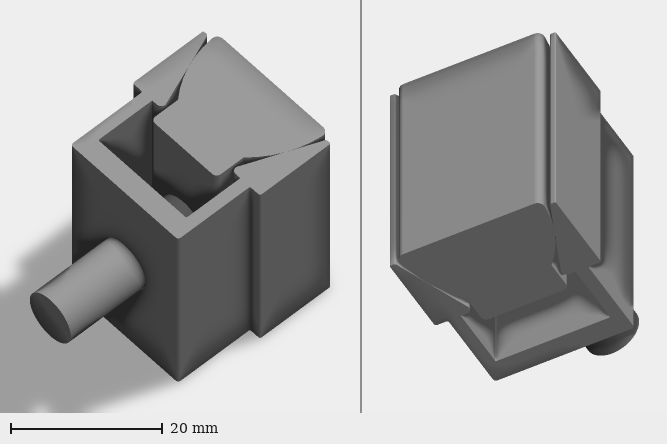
import cadquery as cq
import math

height = 31.75

channel_width = 21.0
cavity_width = 17.2
base_thickness = 3.2
channel_corner_radius = 0.48
cavity_corner_radius = 0.2

jaw_width = 24.9
jaw_bottom_y = 12.82
jaw_top_y = 25.45
jaw_crest_radius = 0.2
jaw_neck_radius = 0.28
jaw_heel_radius = 0.3
jaw_toe_radius = 0.75
jaw_tip_radius = 0.35

wedge_top_width = 21.67
wedge_neck_width = 12.8
wedge_top_y = 26.5
wedge_shoulder_y = 15.4
wedge_bottom_y = 10.55
wedge_flank_radius = 16.65
wedge_top_corner_radius = 1.0
wedge_bottom_corner_radius = 0.8

rod_diameter = 8.0
rod_hole_diameter = 8.35
overall_length = 39.7
rod_end_y = wedge_top_y - overall_length

chord_x = (wedge_top_width - wedge_neck_width) / 2
chord_y = wedge_top_y - wedge_shoulder_y
chord_length = math.hypot(chord_x, chord_y)
flank_bulge = wedge_flank_radius - math.sqrt(wedge_flank_radius**2 - (chord_length / 2) ** 2)
contact_x = (wedge_top_width + wedge_neck_width) / 4 + flank_bulge * chord_y / chord_length
contact_y = (wedge_top_y + wedge_shoulder_y) / 2 - flank_bulge * chord_x / chord_length


def jaw_face_x(y):
    """X of the sloping face of the +X jaw at a given Y."""
    return contact_x + (y - contact_y) * chord_x / chord_y


def extruded(outline):
    return outline.close().extrude(height / 2, both=True)


def round_edges(body, points, radius):
    """Fillet the vertical edges at the given XY points and their mirror images."""
    for x, y in points:
        for side in (-1, 1):
            edge = cq.selectors.NearestToPointSelector((side * x, y, 0))
            body = body.edges("|Z").edges(edge).fillet(radius)
    return body


def y_cylinder(diameter, start_y, end_y):
    """Cylinder along the Y axis."""
    workplane = cq.Workplane("XZ", origin=(0, end_y, 0))
    return workplane.circle(diameter / 2).extrude(end_y - start_y)


def make_channel():
    heel = (jaw_width / 2, jaw_bottom_y)
    crest = (jaw_width / 2, jaw_top_y)
    tip = (jaw_face_x(jaw_top_y), jaw_top_y)
    toe = (jaw_face_x(jaw_bottom_y), jaw_bottom_y)
    outer_corner = (channel_width / 2, 0)
    neck_corner = (channel_width / 2, jaw_bottom_y)
    cavity_corner = (cavity_width / 2, base_thickness)
    right_half = [
        outer_corner,
        neck_corner,
        heel,
        crest,
        tip,
        toe,
        (cavity_width / 2, jaw_bottom_y),
        cavity_corner,
    ]
    left_half = [(-x, y) for x, y in reversed(right_half)]
    channel = extruded(cq.Workplane("XY").polyline(right_half + left_half))
    channel = round_edges(channel, [outer_corner], channel_corner_radius)
    channel = round_edges(channel, [cavity_corner], cavity_corner_radius)
    channel = round_edges(channel, [crest], jaw_crest_radius)
    channel = round_edges(channel, [neck_corner], jaw_neck_radius)
    channel = round_edges(channel, [heel], jaw_heel_radius)
    channel = round_edges(channel, [toe], jaw_toe_radius)
    channel = round_edges(channel, [tip], jaw_tip_radius)
    return channel.cut(y_cylinder(rod_hole_diameter, 0, base_thickness))


def make_wedge():
    top_x = wedge_top_width / 2
    neck_x = wedge_neck_width / 2
    outline = (
        cq.Workplane("XY")
        .moveTo(-neck_x, wedge_bottom_y)
        .lineTo(neck_x, wedge_bottom_y)
        .lineTo(neck_x, wedge_shoulder_y)
        .threePointArc((contact_x, contact_y), (top_x, wedge_top_y))
        .lineTo(-top_x, wedge_top_y)
        .threePointArc((-contact_x, contact_y), (-neck_x, wedge_shoulder_y))
    )
    wedge = extruded(outline)
    wedge = round_edges(wedge, [(top_x, wedge_top_y)], wedge_top_corner_radius)
    return round_edges(wedge, [(neck_x, wedge_bottom_y)], wedge_bottom_corner_radius)


def make_rod():
    return y_cylinder(rod_diameter, rod_end_y, wedge_bottom_y)


channel = make_channel()
wedge = make_wedge()
rod = make_rod()
result = cq.Compound.makeCompound([*channel.solids().vals(), *wedge.solids().vals(), rod.val()])